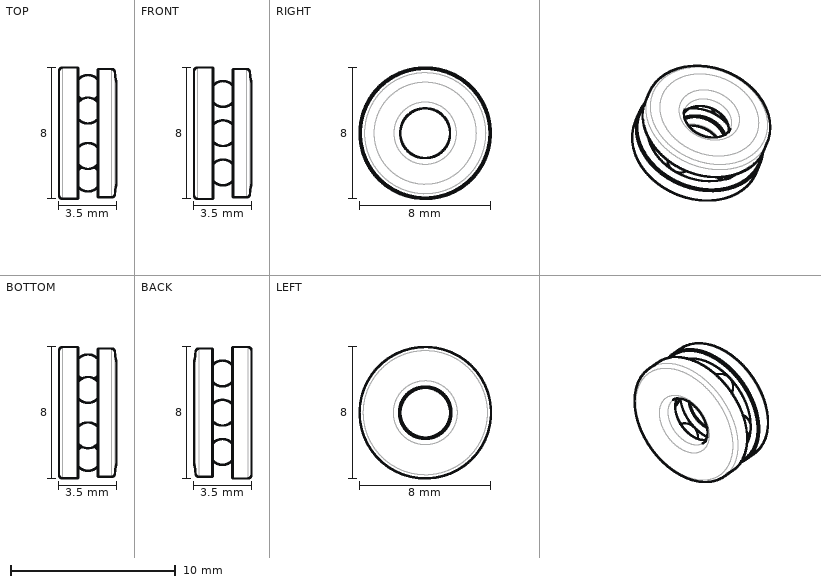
import cadquery as cq
import math

left_width = 1.2
right_width = 1.17
total_width = 3.5
left_outer_radius = 4.0
right_outer_radius = 3.9
left_bore_radius = 1.6
right_bore_radius = 1.5
outer_fillet = 0.22
left_bore_flare = 0.34
left_bore_flare_depth = 0.41
right_bore_fillet = 0.39
edge_chamfer = 0.08
right_bore_chamfer = 0.04

seat_height = 0.09
seat_radius = 3.1

ball_radius = 0.79
ball_count = 6
pitch_radius = 2.75
ball_seating = 0.01

right_start_x = total_width - right_width
middle_x = (left_width + right_start_x) / 2
groove_half_width = math.sqrt(ball_radius**2 - (right_start_x - middle_x) ** 2)
groove_bottom_offset = ball_radius - ball_seating


def revolve_about_x(profile):
    """Revolve an (x, radius) profile about the X axis."""
    return profile.close().revolve(360, (0, 0, 0), (1, 0, 0))


def fillet_offset(radius):
    """Distance from the corner to the middle of a rounding, along a side of the given length."""
    return radius * (1 - math.sqrt(0.5))


def add_grooved_face(profile, x, bore_radius, outer_radius, groove_bottom_x, inward, bore_chamfer):
    """Draw the raceway face from bore to rim; inward is the X direction into the washer."""
    return (
        profile.lineTo(x + inward * bore_chamfer, bore_radius)
        .lineTo(x, bore_radius + bore_chamfer)
        .lineTo(x, pitch_radius - groove_half_width)
        .threePointArc((groove_bottom_x, pitch_radius), (x, pitch_radius + groove_half_width))
        .lineTo(x, outer_radius - edge_chamfer)
        .lineTo(x + inward * edge_chamfer, outer_radius)
    )


def make_left_washer():
    outer_mid = fillet_offset(outer_fillet)
    flare_mid_x = fillet_offset(left_bore_flare_depth)
    flare_mid_radius = left_bore_radius + fillet_offset(left_bore_flare)
    profile = (
        cq.Workplane("XY")
        .moveTo(0, left_bore_radius + left_bore_flare)
        .threePointArc((flare_mid_x, flare_mid_radius), (left_bore_flare_depth, left_bore_radius))
    )
    profile = add_grooved_face(
        profile,
        left_width,
        left_bore_radius,
        left_outer_radius,
        middle_x - groove_bottom_offset,
        -1,
        edge_chamfer,
    )
    profile = profile.lineTo(outer_fillet, left_outer_radius).threePointArc(
        (outer_mid, left_outer_radius - outer_mid), (0, left_outer_radius - outer_fillet)
    )
    return revolve_about_x(profile)


def make_right_washer():
    shoulder_x = total_width - seat_height
    outer_mid = fillet_offset(outer_fillet)
    bore_mid = fillet_offset(right_bore_fillet)
    profile = (
        cq.Workplane("XY")
        .moveTo(total_width, right_bore_radius + right_bore_fillet)
        .threePointArc(
            (total_width - bore_mid, right_bore_radius + bore_mid),
            (total_width - right_bore_fillet, right_bore_radius),
        )
    )
    profile = add_grooved_face(
        profile,
        right_start_x,
        right_bore_radius,
        right_outer_radius,
        middle_x + groove_bottom_offset,
        1,
        right_bore_chamfer,
    )
    profile = (
        profile.lineTo(shoulder_x - outer_fillet, right_outer_radius)
        .threePointArc(
            (shoulder_x - outer_mid, right_outer_radius - outer_mid),
            (shoulder_x, right_outer_radius - outer_fillet),
        )
        .tangentArcPoint((total_width, seat_radius), relative=False)
    )
    return revolve_about_x(profile)


def make_ball(index):
    """One ball; the first lies on the +Y side of the axis."""
    angle = 2 * math.pi * index / ball_count
    center = (middle_x, pitch_radius * math.cos(angle), pitch_radius * math.sin(angle))
    return cq.Workplane("XY").sphere(ball_radius).rotate((0, 0, 0), (0, 1, 0), 90).translate(center)


result = make_left_washer().union(make_right_washer())
for ball_index in range(ball_count):
    result = result.union(make_ball(ball_index))